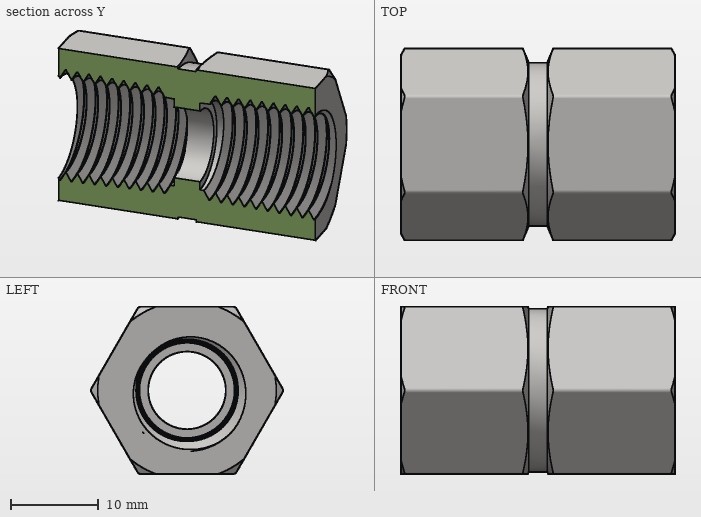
import cadquery as cq
import math

length = 31.2
hex_sides = 6
hex_across_flats = 19.05
hex_edge_radius = 0.5
neck_diameter = 18.6
neck_width = 2.1

outer_face_diameter = 20.3
outer_trim_angle = 30.0
inner_trim_angle = 22.5
trim_clearance = 1.0

bore_diameter = 8.8
thread_depth = 14.0
inch = 25.4
threads_per_inch = 18
thread_pitch = inch / threads_per_inch
taper_on_diameter = 1 / 16
taper_on_radius = taper_on_diameter / 2
thread_taper_angle = math.degrees(math.atan(taper_on_radius))
thread_mouth_radius = 5.84
thread_flank_angle = 30.0
thread_flat = 0.07
thread_start_angle = 220.0
bore_overlap = 0.04

half_length = length / 2
hex_across_corners = hex_across_flats / math.cos(math.pi / hex_sides)
neck_radius = neck_diameter / 2
trim_radius = hex_across_corners / 2 + trim_clearance


def hexagonal_bar():
    """Full-length hexagonal bar with flats facing +Z and -Z and rounded edges."""
    bar = cq.Workplane("YZ").polygon(hex_sides, hex_across_corners).extrude(half_length, both=True)
    return bar.edges("|X").fillet(hex_edge_radius)


def turned_envelope():
    """Revolved shape that trims the hexagon corners and forms the neck."""
    face_radius = outer_face_diameter / 2
    outer_run = (trim_radius - face_radius) * math.tan(math.radians(outer_trim_angle))
    inner_run = (trim_radius - neck_radius) * math.tan(math.radians(inner_trim_angle))
    half_neck = neck_width / 2
    profile = [
        (-half_length, 0),
        (-half_length, face_radius),
        (-half_length + outer_run, trim_radius),
        (-half_neck - inner_run, trim_radius),
        (-half_neck, neck_radius),
        (half_neck, neck_radius),
        (half_neck + inner_run, trim_radius),
        (half_length - outer_run, trim_radius),
        (half_length, face_radius),
        (half_length, 0),
    ]
    return cq.Workplane("XZ").polyline(profile).close().revolve(360, (0, 0, 0), (1, 0, 0))


def thread_hole_cone():
    """Tapered hole at the thread crests, from its floor at Z = 0 to the mouth."""
    floor_radius = thread_mouth_radius - thread_depth * taper_on_radius
    profile = [
        (0, 0),
        (floor_radius, 0),
        (thread_mouth_radius, thread_depth),
        (0, thread_depth),
    ]
    return cq.Workplane("YZ").polyline(profile).close().revolve(360, (0, 0, 0), (0, 1, 0))


def thread_groove():
    """V groove winding up the tapered hole and running out past the mouth."""
    flank_slope = math.tan(math.radians(thread_flank_angle))
    crest_half_width = (thread_pitch - thread_flat) / 2
    root_half_width = thread_flat / 2
    groove_depth = (crest_half_width - root_half_width) / flank_slope
    inside_half_width = crest_half_width + bore_overlap * flank_slope
    start_height = thread_pitch / 2
    height = thread_depth + thread_pitch - start_height
    start_radius = thread_mouth_radius - (thread_depth - start_height) * taper_on_radius
    helix = cq.Wire.makeHelix(
        thread_pitch, height, start_radius, cq.Vector(0, 0, start_height), angle=thread_taper_angle
    )
    inside_radius = start_radius - bore_overlap
    root_radius = start_radius + groove_depth
    profile = [
        (inside_radius, start_height - inside_half_width),
        (root_radius, start_height - root_half_width),
        (root_radius, start_height + root_half_width),
        (inside_radius, start_height + inside_half_width),
    ]
    groove = cq.Workplane("XZ").polyline(profile).close().sweep(cq.Workplane(helix), isFrenet=True)
    turns_to_mouth = (thread_depth - start_height) / thread_pitch
    return groove.rotate((0, 0, 0), (0, 0, 1), thread_start_angle - 360 * turns_to_mouth)


def place_at_left_end(shape):
    """Lay a tool standing on Z into the -X end, its mouth on the end face."""
    return shape.rotate((0, 0, 0), (0, 1, 0), -90).translate((thread_depth - half_length, 0, 0))


def cut_from_both_ends(body, tool):
    """Cut a tool from the -X end and, turned half round about Z, from the +X end."""
    left_tool = place_at_left_end(tool)
    right_tool = left_tool.rotate((0, 0, 0), (0, 0, 1), 180)
    return body.cut(left_tool).cut(right_tool)


body = hexagonal_bar().intersect(turned_envelope())
bore = cq.Workplane("YZ").circle(bore_diameter / 2).extrude(half_length, both=True)
body = body.cut(bore)
body = cut_from_both_ends(body, thread_hole_cone())
result = cut_from_both_ends(body, thread_groove()).solids()